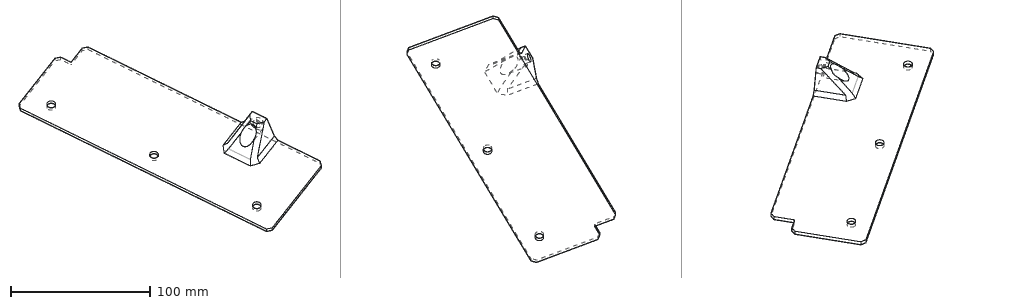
import cadquery as cq

plate_length = 214.0
plate_width = 73.0
plate_thickness = 3.0
corner_chamfer = 3.0
notch_length = 11.8
notch_width = 18.2

hole_diameter = 6.2
hole_edge_distance = 14.8
first_hole_x = 20.0
hole_pitch = 86.9
hole_count = 3

total_height = 22.0
bracket_x = 159.9
flare = 3.0
foot_width = 31.0
foot_depth = 30.4
top_width = 12.5
top_depth = 8.0

bevel_base_half_width = 35.3
bevel_top_half_width = 9.0
bevel_depth_ratio = 1.25

screw_height = 15.5
counterbore_diameter = 11.0
screw_wall = 4.0


def make_plate():
    outline = [
        (0, 0),
        (plate_length, 0),
        (plate_length, plate_width),
        (notch_length, plate_width),
        (notch_length, plate_width - notch_width),
        (0, plate_width - notch_width),
    ]
    plate = cq.Workplane("XY").polyline(outline).close().extrude(plate_thickness)
    inner_corner = cq.selectors.NearestToPointSelector(
        (notch_length, plate_width - notch_width, plate_thickness / 2)
    )
    outer_corners = cq.selectors.SubtractSelector(
        cq.StringSyntaxSelector("|Z"), inner_corner
    )
    plate = plate.edges(outer_corners).chamfer(corner_chamfer)

    hole_points = [
        (first_hole_x + i * hole_pitch, hole_edge_distance) for i in range(hole_count)
    ]
    holes = (
        cq.Workplane("XY")
        .pushPoints(hole_points)
        .circle(hole_diameter / 2)
        .extrude(plate_thickness)
    )
    return plate.cut(holes)


def bevel_triangle(half_width):
    depth = half_width * bevel_depth_ratio
    return [
        (bracket_x - half_width, plate_width),
        (bracket_x, plate_width - depth),
        (bracket_x + half_width, plate_width),
    ]


def make_bracket():
    shoulder_z = plate_thickness + flare
    shoulder_half = foot_width / 2 - flare

    trapezoid = (
        cq.Workplane("XZ", origin=(bracket_x, plate_width, 0))
        .moveTo(-foot_width / 2, plate_thickness)
        .lineTo(foot_width / 2, plate_thickness)
        .lineTo(shoulder_half, shoulder_z)
        .lineTo(top_width / 2, total_height)
        .lineTo(-top_width / 2, total_height)
        .lineTo(-shoulder_half, shoulder_z)
        .close()
        .extrude(foot_depth)
    )

    side_profile = (
        cq.Workplane("YZ", origin=(bracket_x, 0, 0))
        .moveTo(plate_width, plate_thickness)
        .lineTo(plate_width, total_height)
        .lineTo(plate_width - top_depth, total_height)
        .lineTo(plate_width - foot_depth + flare, shoulder_z)
        .lineTo(plate_width - foot_depth, plate_thickness)
        .close()
        .extrude(foot_width / 2, both=True)
    )

    bevels = (
        cq.Workplane("XY", origin=(0, 0, plate_thickness))
        .polyline(bevel_triangle(bevel_base_half_width))
        .close()
        .workplane(offset=total_height - plate_thickness)
        .polyline(bevel_triangle(bevel_top_half_width))
        .close()
        .loft(ruled=True)
    )
    return trapezoid.intersect(side_profile).intersect(bevels)


def make_screw_hole():
    back = cq.Workplane("XZ", origin=(bracket_x, plate_width, screw_height))
    through_hole = back.circle(hole_diameter / 2).extrude(foot_depth)
    counterbore = (
        back.workplane(offset=screw_wall)
        .circle(counterbore_diameter / 2)
        .extrude(foot_depth - screw_wall)
    )
    return through_hole.union(counterbore)


result = make_plate().union(make_bracket()).cut(make_screw_hole())